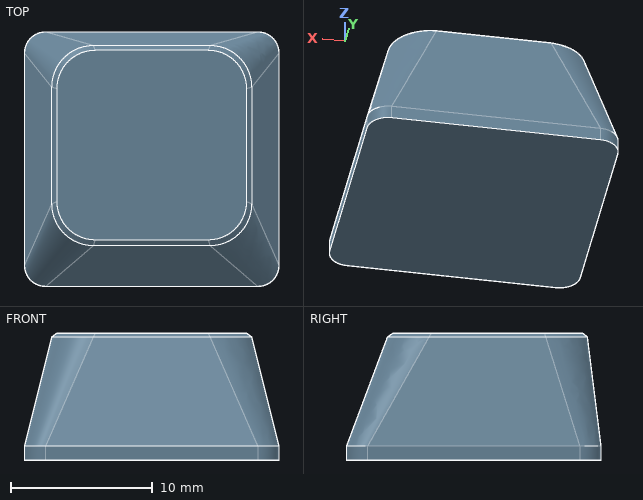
import cadquery as cq

base_size = 18.0
base_corner_radius = 1.5
skirt_height = 1.0

total_height = 9.0
top_size = 14.0
top_corner_radius = 3.0
top_offset_y = 1.0

rim_bevel_height = 0.28
rim_bevel_inset = 0.3


def rounded_square(size, corner_radius, center_y, z):
    """Square outline with rounded corners, centred on X = 0 at the given height."""
    outline = cq.Sketch().rect(size, size).vertices().fillet(corner_radius)
    return outline.moved(cq.Location(cq.Vector(0, center_y, z)))


def side_outline(z):
    """Outline of the sloping sides at a height between the skirt and the top."""
    fraction = (z - skirt_height) / (total_height - skirt_height)
    size = base_size + fraction * (top_size - base_size)
    corner_radius = base_corner_radius + fraction * (top_corner_radius - base_corner_radius)
    return rounded_square(size, corner_radius, fraction * top_offset_y, z)


def loft_between(lower, upper):
    """Solid with straight sides joining two outlines."""
    return cq.Workplane("XY").placeSketch(lower, upper).loft(ruled=True)


def make_skirt():
    """Straight-sided band around the bottom of the key."""
    outline = rounded_square(base_size, base_corner_radius, 0, 0)
    return cq.Workplane("XY").placeSketch(outline).extrude(skirt_height)


def make_sloping_body():
    """Body that narrows from the skirt to the foot of the rim bevel."""
    return loft_between(side_outline(skirt_height), side_outline(total_height - rim_bevel_height))


def make_bevelled_top():
    """Thin cap that forms the rim bevel and the flat top face."""
    face_size = top_size - 2 * rim_bevel_inset
    face_corner_radius = top_corner_radius - rim_bevel_inset
    top_face = rounded_square(face_size, face_corner_radius, top_offset_y, total_height)
    return loft_between(side_outline(total_height - rim_bevel_height), top_face)


keycap = make_skirt().union(make_sloping_body()).union(make_bevelled_top())
result = keycap.solids()